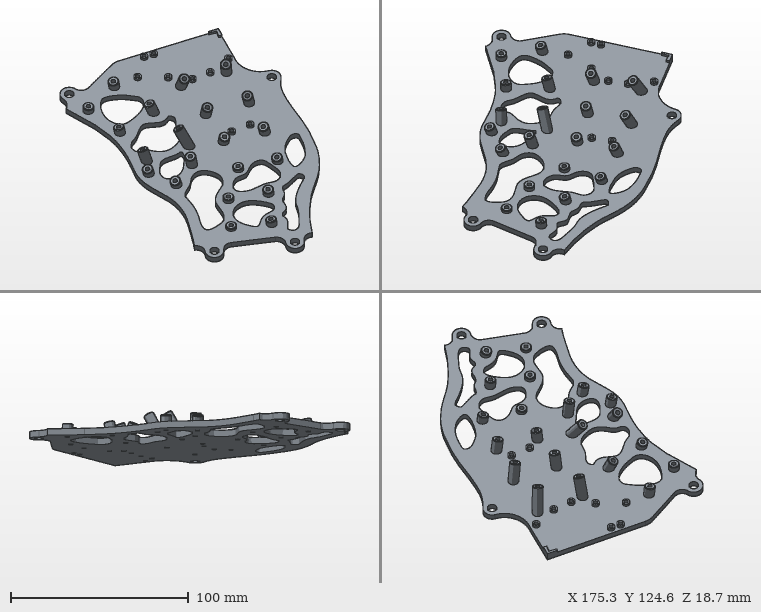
import cadquery as cq
import math

PLATE_THICKNESS = 3.7
LUG_RADIUS = 5.3
LUG_HOLE_DIAMETER = 5.3

PIN_DIAMETER = 6.1
PIN_FACE_DIAMETER = 5.3
PIN_HOLE_DIAMETER = 2.5
PIN_ROOT_DEPTH = 2.1

BOSS_DIAMETER = 4.2
BOSS_HOLE_DIAMETER = 2.3
RAISED_HEIGHT = 1.5

LIP_WIDTH = 1.5
LIP_LENGTH_X = 5.5
LIP_LENGTH_Y = 6.1
LIP_OVERHANG = 1.8

RAISED_TOP = PLATE_THICKNESS + RAISED_HEIGHT

LIP_CORNER = (0, 100.4)

LOWER_LEFT_LUG = (21.0, 5.5)
LOWER_RIGHT_LUG = (162.6, 44.9)
UPPER_RIGHT_LUG = (170.0, 90.0)
UPPER_LEFT_LUG = (43.8, 117.5)
LUGS = [LOWER_LEFT_LUG, LOWER_RIGHT_LUG, UPPER_RIGHT_LUG, UPPER_LEFT_LUG]

BOSSES = [
    (23.3, 98.6), (30.3, 85.7), (32.2, 74.5), (26.6, 62.0), (6.8, 60.0),
    (7.2, 54.1), (21.2, 45.7), (76.0, 94.3), (78.0, 82.7),
]

PINS = [
    ((32.2, 94.6), (39.0, 92.0, 17.5)),
    ((58.9, 99.3), (62.9, 96.9, 14.0)),
    ((83.4, 100.5), (85.3, 99.0, 10.5)),
    ((83.2, 76.2), (85.0, 76.2, 9.3)),
    ((34.7, 67.0), (40.3, 67.1, 15.0)),
    ((60.1, 73.2), (63.3, 73.2, 12.6)),
    ((49.4, 45.9), (48.2, 43.6, 10.5)),
    ((80.2, 56.6), (75.5, 51.9, 14.9)),
    ((94.8, 53.8), (96.5, 52.2, 12.6)),
    ((84.0, 30.5), (80.8, 29.0, 10.3)),
    ((93.7, 28.5), (94.6, 27.5, 8.4)),
    ((106.9, 40.6), (108.1, 39.5, 8.4)),
    ((23.5, 31.2), (24.4, 30.3, 9.3)),
    ((58.3, 23.1), (57.6, 22.6, 7.7)),
    ((36.6, 11.5), (36.8, 11.5, 7.4)),
    ((106.9, 100.4), (107.5, 99.7, 7.5)),
    ((106.0, 77.5), (106.0, 77.3, 6.0)),
    ((129.5, 87.6), (130.2, 87.0, 7.9)),
    ((152.5, 82.0), (151.9, 81.6, 7.0)),
    ((127.2, 64.7), (127.2, 64.7, 6.3)),
    ((148.2, 59.4), (148.2, 59.4, 5.6)),
]

WINDOWS = [
    [(92.5, 118.3), (90.0, 116.9), (89.9, 115.0), (92.3, 111.5), (99.7, 107.0), (105.8, 106.4),
     (112.0, 106.9), (113.9, 107.8), (111.6, 113.4), (106.0, 117.0), (98.0, 118.5)],
    [(120.4, 107.5), (123.3, 103.4), (126.0, 98.8), (126.9, 97.0), (132.3, 96.2), (136.3, 93.7),
     (143.8, 93.4), (147.7, 89.9), (150.9, 91.0), (154.2, 91.0), (159.3, 89.5), (161.2, 93.0),
     (159.3, 95.7), (154.5, 97.5), (147.2, 99.5), (140.7, 100.0), (135.0, 102.3), (125.8, 109.2),
     (122.3, 110.7)],
    [(106.4, 94.8), (103.4, 90.5), (105.3, 85.3), (110.7, 80.2), (112.5, 74.1), (121.2, 70.8),
     (123.9, 77.6), (121.6, 89.7), (121.5, 95.0), (119.1, 98.0)],
    [(137.2, 86.2), (133.0, 79.7), (131.4, 72.5), (136.0, 64.8), (141.7, 63.6), (150.3, 70.0),
     (151.9, 73.8), (147.7, 77.3), (143.7, 83.5), (142.3, 86.5), (139.3, 87.5)],
    [(101.5, 54.0), (104.8, 50.1), (109.5, 47.7), (116.7, 42.5), (119.0, 43.0), (127.2, 44.7),
     (135.5, 44.7), (142.6, 44.3), (145.0, 45.2), (144.4, 53.0), (141.2, 57.3), (137.4, 58.5),
     (125.8, 57.5), (119.5, 61.1), (113.2, 66.0), (108.8, 66.2), (103.7, 62.9)],
    [(55.2, 52.5), (57.8, 47.3), (56.6, 37.7), (65.2, 30.0), (68.2, 26.8), (74.1, 26.3),
     (75.5, 27.7), (75.7, 31.9), (78.3, 37.1), (79.9, 44.3), (77.8, 49.2), (72.7, 54.0),
     (64.7, 54.3), (58.2, 55.9), (56.2, 55.4)],
    [(83.5, 50.5), (85.0, 45.4), (87.5, 37.8), (90.5, 36.1), (95.1, 34.7), (100.0, 36.0),
     (100.7, 42.5), (96.7, 47.7), (89.7, 50.8), (87.6, 51.7)],
    [(34.9, 41.2), (32.6, 37.0), (29.8, 27.3), (30.7, 21.7), (35.4, 19.3), (42.8, 18.7),
     (51.2, 23.3), (52.7, 27.7), (51.3, 31.9), (46.6, 39.0), (38.0, 43.1)],
]


def toward(start, target, distance):
    """Point at the given distance from start, in the direction of target."""
    dx = target[0] - start[0]
    dy = target[1] - start[1]
    length = math.hypot(dx, dy)
    return (start[0] + dx * distance / length, start[1] + dy * distance / length)


def blend_arc(path, start, end, centre):
    """Short arc from start to end around centre."""
    radius = math.dist(centre, end)
    chord_middle = ((start[0] + end[0]) / 2, (start[1] + end[1]) / 2)
    return path.threePointArc(toward(centre, chord_middle, radius), end)


def add_lug(path, start, lug, entry_centre, exit_centre, outward_angle, end):
    """Hollow blend into a round lug, around its nose, and a hollow blend out again."""
    lug_start = toward(lug, entry_centre, LUG_RADIUS)
    lug_end = toward(lug, exit_centre, LUG_RADIUS)
    angle = math.radians(outward_angle)
    nose = (lug[0] + LUG_RADIUS * math.cos(angle), lug[1] + LUG_RADIUS * math.sin(angle))
    path = blend_arc(path, start, lug_start, entry_centre)
    path = path.threePointArc(nose, lug_end)
    return blend_arc(path, lug_end, end, exit_centre)


def plate_outline():
    """Counter-clockwise outline, starting at the lip corner."""
    path = cq.Workplane("XY").moveTo(*LIP_CORNER).lineTo(5.0, 40.1)
    path = path.tangentArcPoint((6.7, 35.4), relative=False)
    lug_start = (19.6, 17.3)
    path = path.lineTo(*lug_start)
    path = add_lug(path, lug_start, LOWER_LEFT_LUG, (15.2, 14.4), (27.7, -3.0), 225, (31.4, 0))

    path = path.lineTo(48.5, 11.7)
    path = path.spline(
        [(53.8, 14.5), (61.7, 18.0), (72.4, 20.7), (82.3, 21.5), (93.4, 21.9), (101.3, 24.5),
         (115.6, 33.8), (123.0, 36.8), (131.4, 38.0), (140.2, 37.5), (150.5, 36.3)],
        includeCurrent=True,
    )
    corner = (155.4, 35.4)
    path = path.lineTo(*corner)
    lug_end = (159.5, 56.0)
    path = add_lug(path, corner, LOWER_RIGHT_LUG, (160.5, 34.5), (164.7, 55.2), 0, lug_end)

    lug_start = (163.1, 80.6)
    top_corner = (166.3, 101.5)
    path = path.lineTo(*lug_start)
    path = add_lug(path, lug_start, UPPER_RIGHT_LUG, (168.4, 79.7), (171.5, 100.4), 0, top_corner)

    lug_start = (57.5, 119.8)
    path = path.spline(
        [(147.2, 106.2), (136.1, 111.0), (124.0, 118.6), (115.6, 122.3), (105.5, 124.4), (97.2, 124.5),
         (88.5, 124.2), (72.4, 121.6), lug_start],
        includeCurrent=True,
    )
    lug_end = (22.8, 102.3)
    path = add_lug(path, lug_start, UPPER_LEFT_LUG, (57.5, 147.2), (23.1, 118.1), 110, lug_end)
    return path.close()


def make_plate():
    plate = plate_outline().extrude(PLATE_THICKNESS)
    for points in WINDOWS:
        window = cq.Workplane("XY").spline(points, periodic=True).close()
        plate = plate.cut(window.extrude(PLATE_THICKNESS))
    lug_holes = cq.Workplane("XY").pushPoints(LUGS).circle(LUG_HOLE_DIAMETER / 2)
    return plate.cut(lug_holes.extrude(PLATE_THICKNESS))


def make_lip():
    """L-shaped lip on the upper left corner of the plate, flush with its edges."""
    x, y = LIP_CORNER
    inner_x = x + LIP_WIDTH
    inner_y = y - LIP_WIDTH
    bracket = cq.Workplane("XY").polyline([
        (x - LIP_OVERHANG, y + LIP_OVERHANG),
        (x + LIP_LENGTH_X, y + LIP_OVERHANG),
        (x + LIP_LENGTH_X, inner_y),
        (inner_x, inner_y),
        (inner_x, y - LIP_LENGTH_Y),
        (x - LIP_OVERHANG, y - LIP_LENGTH_Y),
    ]).close().extrude(RAISED_TOP)
    return bracket.intersect(plate_outline().extrude(RAISED_TOP))


def pin_axis(foot, tip):
    """Unit direction from foot to tip, and the length between them."""
    along = cq.Vector(*tip) - cq.Vector(*foot, PLATE_THICKNESS)
    return along.normalized(), along.Length


def make_pin(foot, tip):
    direction, length = pin_axis(foot, tip)
    root = cq.Vector(*tip) - direction * (length + PIN_ROOT_DEPTH)
    pin = cq.Workplane(cq.Plane(root, normal=direction)).circle(PIN_DIAMETER / 2)
    chamfer = (PIN_DIAMETER - PIN_FACE_DIAMETER) / 2
    tip_face = cq.selectors.DirectionMinMaxSelector(direction)
    return pin.extrude(length + PIN_ROOT_DEPTH).faces(tip_face).chamfer(chamfer)


def make_pin_hole(foot, tip):
    """Drilling along the pin axis, through pin and plate."""
    direction, length = pin_axis(foot, tip)
    depth = length + 2 * PLATE_THICKNESS
    start = cq.Workplane(cq.Plane(cq.Vector(*tip), normal=direction))
    return start.circle(PIN_HOLE_DIAMETER / 2).extrude(-depth)


result = make_plate().union(make_lip())

boss_layout = cq.Workplane("XY").pushPoints(BOSSES)
result = result.union(boss_layout.circle(BOSS_DIAMETER / 2).extrude(RAISED_TOP))
result = result.cut(boss_layout.circle(BOSS_HOLE_DIAMETER / 2).extrude(RAISED_TOP))

for foot, tip in PINS:
    result = result.union(make_pin(foot, tip))
for foot, tip in PINS:
    result = result.cut(make_pin_hole(foot, tip))